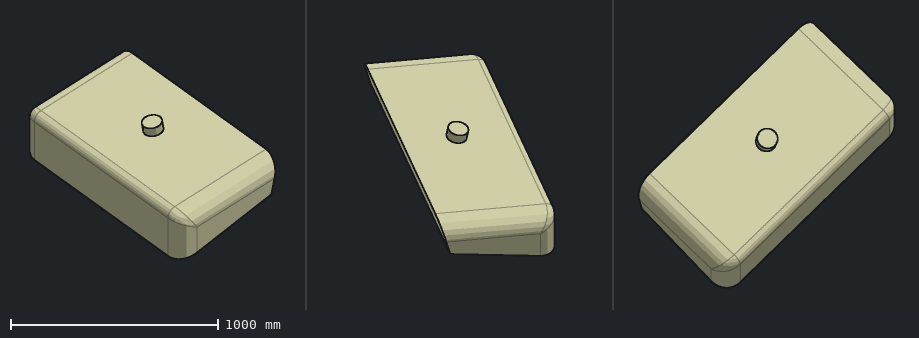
import cadquery as cq
import math

width = 1250.0
depth = 601.08
overall_height = 388.13

top_slope = math.radians(10.42)
bottom_slope = math.radians(18.25)
rear_lean = math.radians(12.7)

side_radius = 100.0
front_top_radius = 50.0
bottom_radius = 10.0

boss_diameter = 100.0
boss_height = 50.0
boss_base_y = 321.2

bottom_edge_tangent = bottom_radius * math.tan((math.pi / 2 + bottom_slope) / 2)
front_bottom_z = bottom_radius - bottom_edge_tangent

boss_radius = boss_diameter / 2
boss_rise = boss_height * math.cos(top_slope) + boss_radius * math.sin(top_slope)
boss_base_z = overall_height - boss_rise
front_top_z = boss_base_z - boss_base_y * math.tan(top_slope)
rear_top_z = front_top_z + depth * math.tan(top_slope)

underside_z_at_depth = front_bottom_z + depth * math.tan(bottom_slope)
rear_offset = (rear_top_z - underside_z_at_depth) / (1 / math.tan(rear_lean) - math.tan(bottom_slope))
rear_bottom_y = depth - rear_offset
rear_bottom_z = front_bottom_z + rear_bottom_y * math.tan(bottom_slope)


def edges_nearest(body, points):
    """Return, for each point, the edge of the body whose centre lies nearest to it."""
    solid = cq.Workplane(body.val())
    found = []
    for point in points:
        found.append(solid.edges(cq.selectors.NearestToPointSelector(point)).val())
    return found


def make_wedge():
    """Sharp-edged housing: the side profile drawn across the full width."""
    profile = [
        (0, front_bottom_z),
        (rear_bottom_y, rear_bottom_z),
        (depth, rear_top_z),
        (0, front_top_z),
    ]
    return cq.Workplane("YZ").polyline(profile).close().extrude(width / 2, both=True)


def round_upper_edges(body):
    """Round the side edges first, then the front edge that wraps around both corners."""
    front_mid_z = (front_bottom_z + front_top_z) / 2
    top_mid_z = (front_top_z + rear_top_z) / 2
    side_points = []
    for side_x in (-width / 2, width / 2):
        side_points.append((side_x, 0, front_mid_z))
        side_points.append((side_x, depth / 2, top_mid_z))
    sides_rounded = cq.Workplane(body.val().fillet(side_radius, edges_nearest(body, side_points)))
    front_edge = edges_nearest(sides_rounded, [(0, 0, front_top_z)])
    return cq.Workplane(sides_rounded.val().fillet(front_top_radius, front_edge))


def round_bottom_edges(body):
    """Round the underside along its front and sides; the rear edge stays sharp."""
    front_edge = edges_nearest(body, [(0, 0, front_bottom_z)])
    return cq.Workplane(body.val().fillet(bottom_radius, front_edge))


def make_boss():
    """Cylinder square to the sloping top face."""
    axis = cq.Vector(0, -math.sin(top_slope), math.cos(top_slope))
    foot = cq.Vector(0, boss_base_y, boss_base_z)
    return cq.Workplane(cq.Solid.makeCylinder(boss_radius, boss_height, foot, axis))


housing = round_bottom_edges(round_upper_edges(make_wedge()))
result = housing.union(make_boss())